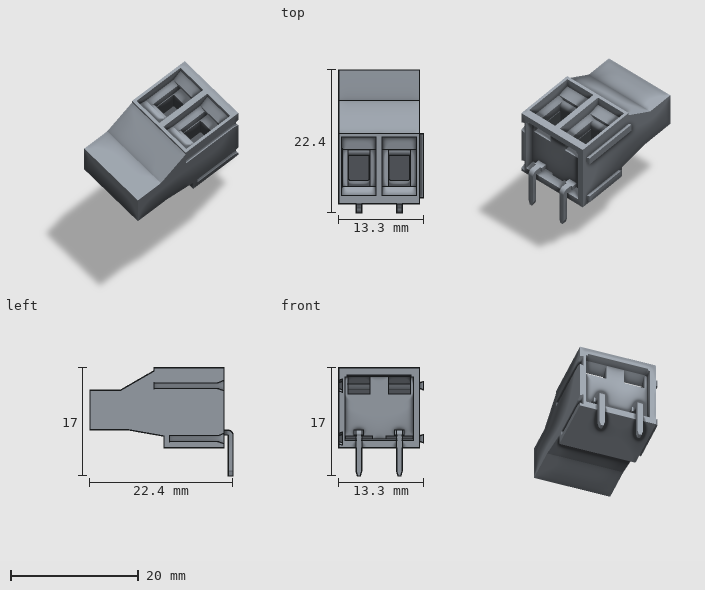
import cadquery as cq
import math


body_width = 12.7
body_height = 12.55
body_length = 21.0
top_deck_length = 11.0
top_step = 0.5
nose_top = 9.05
nose_bottom = 2.8
foot_length = 9.43
top_slope_angle = 30.0
bottom_slope_angle = 10.0
foot_step_height = 1.82

pitch = 6.35
pole_centres = (-pitch / 2, pitch / 2)

recess_width = 10.7
recess_depth = 1.35
recess_bottom = 1.16
recess_shoulder = 11.06
recess_raised_width = 10.05
recess_top = 11.42
recess_draft = 0.22
floor_ramp_length = 1.12
recess_floor = recess_bottom + recess_draft
recess_ceiling = recess_top - recess_draft

well_width = 5.4
well_front = 1.3
well_back = 10.47
front_funnel_top = 11.65
back_funnel_top = 11.0
funnel_bottom = 10.53
core_width = 3.42
core_front = 2.75
core_back = 8.5
core_floor = 8.44
window_inner_top = 9.96

lip_radius = 0.8
lip_front = 7.57
lip_top = 9.97
pocket_width = 3.2
pocket_front = 3.7
pocket_floor = 5.0
pocket_corner = 0.15

notch_width = 4.25
notch_height = 0.45
notch_depth = 1.0
notch_back = recess_depth + notch_depth
notch_wall_angle = 30.0

dovetail_depth = 0.6
dovetail_angle = 20.0
dovetail_flank = dovetail_depth * math.tan(math.radians(dovetail_angle))
dovetail_half = 0.45
flare_half = 0.82
flare_length = 0.95
upper_dovetail_height = 9.74
lower_dovetail_height = 1.44
upper_dovetail_end = top_deck_length
lower_dovetail_end = 8.55

pin_width = 0.9
pin_thickness = 0.8
pin_top = 2.77
pin_reach = 1.43
pin_tip = -4.45
pin_taper_start = -3.65
pin_tip_width = 0.45
pin_bend_radius = 0.8
tab_width = 1.5
tab_front = 0.35
pin_root = notch_back


def box(x_range, y_range, z_range):
    """Axis-aligned box from its limits along X, Y and Z."""
    (x0, x1), (y0, y1), (z0, z1) = x_range, y_range, z_range
    return cq.Workplane("XY").box(x1 - x0, y1 - y0, z1 - z0, centered=False).translate((x0, y0, z0))


def side_prism(points, width, x_centre=0.0):
    """Prism with a (Y, Z) outline, centred on x_centre along X."""
    profile = cq.Workplane("YZ").polyline(points).close()
    return profile.extrude(width / 2, both=True).translate((x_centre, 0, 0))


def quarter_arc_inset(radius):
    """Distance from each edge of a square corner to the middle of its rounding."""
    return radius * (1 - math.sqrt(0.5))


def housing():
    """Solid housing with a nose that slopes in from above and below."""
    top_slope_start = body_height - top_step
    top_run = (top_slope_start - nose_top) / math.tan(math.radians(top_slope_angle))
    bottom_run = (nose_bottom - foot_step_height) / math.tan(math.radians(bottom_slope_angle))
    outline = [
        (0, 0),
        (0, body_height),
        (top_deck_length, body_height),
        (top_deck_length, top_slope_start),
        (top_deck_length + top_run, nose_top),
        (body_length, nose_top),
        (body_length, nose_bottom),
        (foot_length + bottom_run, nose_bottom),
        (foot_length, foot_step_height),
        (foot_length, 0),
    ]
    return side_prism(outline, body_width)


def front_recess():
    """Shallow recess with a ramped floor and a raised, sloping ceiling."""
    lower_outline = [
        (0, recess_bottom),
        (floor_ramp_length, recess_floor),
        (recess_depth, recess_floor),
        (recess_depth, recess_shoulder),
        (0, recess_shoulder),
    ]
    upper_outline = [
        (0, recess_floor),
        (recess_depth, recess_floor),
        (recess_depth, recess_ceiling),
        (0, recess_top),
    ]
    return side_prism(lower_outline, recess_width).union(side_prism(upper_outline, recess_raised_width))


def well(x):
    """Funnel-topped well with its narrow core and the window to the front recess."""
    funnel = side_prism(
        [
            (well_front, body_height),
            (well_front, front_funnel_top),
            (core_front, funnel_bottom),
            (core_back, funnel_bottom),
            (well_back, back_funnel_top),
            (well_back, body_height),
        ],
        well_width,
        x,
    )
    ledges = (
        cq.Workplane("XZ", origin=(x, core_front, 0))
        .polyline([
            (-well_width / 2, funnel_bottom),
            (well_width / 2, funnel_bottom),
            (core_width / 2, lip_top),
            (-core_width / 2, lip_top),
        ])
        .close()
        .extrude(core_front - core_back)
    )
    core = side_prism(
        [
            (core_front, core_floor),
            (lip_front, core_floor),
            (lip_front, lip_top),
            (core_back, lip_top),
            (core_back, funnel_bottom),
            (core_front, funnel_bottom),
        ],
        core_width,
        x,
    )
    window = side_prism(
        [
            (recess_depth, core_floor),
            (core_front, core_floor),
            (core_front, window_inner_top),
            (recess_depth, recess_ceiling),
        ],
        core_width,
        x,
    )
    return funnel.union(ledges).union(core).union(window)


def lip_rounding(x):
    """Corner material removed to round the front top edge of the lip."""
    arc_mid = quarter_arc_inset(lip_radius)
    return (
        cq.Workplane("YZ")
        .moveTo(lip_front, lip_top)
        .lineTo(lip_front, lip_top - lip_radius)
        .threePointArc(
            (lip_front + arc_mid, lip_top - arc_mid),
            (lip_front + lip_radius, lip_top),
        )
        .close()
        .extrude(core_width / 2, both=True)
        .translate((x, 0, 0))
    )


def clamp_pocket(x):
    """Deep pocket in the core floor, its two front corners chamfered."""
    x_range = (x - pocket_width / 2, x + pocket_width / 2)
    pocket = box(x_range, (pocket_front, lip_front), (pocket_floor, core_floor))
    return pocket.edges("|Z and <Y").chamfer(pocket_corner)


def contact_notch(x):
    """Low notch whose back wall recedes on the +X half."""
    half = notch_width / 2
    deep_back = notch_back + half * math.tan(math.radians(notch_wall_angle))
    return (
        cq.Workplane("XY", origin=(x, 0, recess_floor))
        .polyline([
            (-half, recess_depth),
            (-half, notch_back),
            (0, notch_back),
            (half, deep_back),
            (half, recess_depth),
        ])
        .close()
        .extrude(notch_height)
    )


def dovetail_slot(z, end):
    """Undercut slot in the left side with a flared mouth at the front face."""
    def outline(grow):
        narrow = dovetail_half + grow
        wide = flare_half + grow
        return [
            (0, z - wide),
            (flare_length, z - narrow),
            (end, z - narrow),
            (end, z + narrow),
            (flare_length, z + narrow),
            (0, z + wide),
        ]

    return (
        cq.Workplane("YZ", origin=(-body_width / 2, 0, 0))
        .polyline(outline(0))
        .close()
        .workplane(offset=dovetail_depth)
        .polyline(outline(dovetail_flank))
        .close()
        .loft(ruled=True)
    )


def dovetail_rail(z, end):
    """Rail on the right side, wider at its crest than at its root."""
    root_x = body_width / 2
    crest_x = root_x + dovetail_depth
    crest_half = dovetail_half + dovetail_flank
    return (
        cq.Workplane("XZ", origin=(0, flare_length, 0))
        .polyline([
            (root_x, z - dovetail_half),
            (crest_x, z - crest_half),
            (crest_x, z + crest_half),
            (root_x, z + dovetail_half),
        ])
        .close()
        .extrude(flare_length - end)
    )


def pin(x):
    """Bent flat pin with a tapered tip and a wider tab at its root."""
    pin_bottom = pin_top - pin_thickness
    bend_mid = quarter_arc_inset(pin_bend_radius)
    bent_strip = (
        cq.Workplane("YZ")
        .moveTo(pin_root, pin_top)
        .lineTo(pin_bend_radius - pin_reach, pin_top)
        .threePointArc(
            (bend_mid - pin_reach, pin_top - bend_mid),
            (-pin_reach, pin_top - pin_bend_radius),
        )
        .lineTo(-pin_reach, pin_tip)
        .lineTo(pin_thickness - pin_reach, pin_tip)
        .lineTo(pin_thickness - pin_reach, pin_bottom)
        .lineTo(pin_root, pin_bottom)
        .close()
        .extrude(pin_width / 2, both=True)
    )
    front_shape = (
        cq.Workplane("XZ", origin=(0, pin_root, 0))
        .polyline([
            (-pin_width / 2, pin_top),
            (pin_width / 2, pin_top),
            (pin_width / 2, pin_taper_start),
            (pin_tip_width / 2, pin_tip),
            (-pin_tip_width / 2, pin_tip),
            (-pin_width / 2, pin_taper_start),
        ])
        .close()
        .extrude(pin_root + pin_reach)
    )
    tab = box((-tab_width / 2, tab_width / 2), (tab_front, pin_root), (pin_bottom, pin_top))
    return bent_strip.intersect(front_shape).union(tab).translate((x, 0, 0))


result = housing().cut(front_recess())
for pole_x in pole_centres:
    result = result.cut(well(pole_x))
    result = result.cut(lip_rounding(pole_x))
    result = result.cut(clamp_pocket(pole_x))
    result = result.cut(contact_notch(pole_x))
    result = result.union(pin(pole_x))
for height, end in (
    (upper_dovetail_height, upper_dovetail_end),
    (lower_dovetail_height, lower_dovetail_end),
):
    result = result.cut(dovetail_slot(height, end))
    result = result.union(dovetail_rail(height, end))